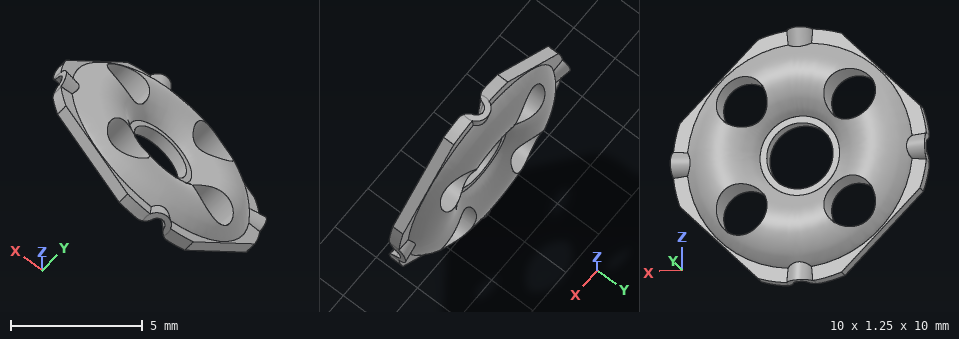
import cadquery as cq
import math

DISC_RADIUS = 5.0
ACROSS_FLATS = 9.0
PLATE_THICKNESS = 0.5

TOTAL_THICKNESS = 1.25
RING_CREST_RADIUS = 3.0
RING_ARC_RADIUS = 1.75
RING_HEIGHT = TOTAL_THICKNESS - PLATE_THICKNESS
RING_HALF_WIDTH = math.sqrt(RING_ARC_RADIUS**2 - (RING_ARC_RADIUS - RING_HEIGHT) ** 2)

CENTRE_HOLE_DIAMETER = 2.6
SIDE_HOLE_DIAMETER = 2.0
SIDE_HOLE_CIRCLE_RADIUS = RING_CREST_RADIUS

GROOVE_START = 1.6
GROOVE_TILT = 10.0
GROOVE_RADIUS = 0.3
GROOVE_EDGE_FILLET = 0.55
WALL = 0.25
OVERSHOOT = 0.5
CUTTER_WIDTH = 4.0
CUTTER_HEIGHT = 1.5

QUARTER_TURNS = (0, 90, 180, 270)


def disc(radius, thickness):
    """Disc from the front face (Y = 0) towards +Y."""
    return cq.Workplane("XZ").circle(radius).extrude(-thickness)


def around_axis(body, angle):
    return body.rotate((0, 0, 0), (0, 1, 0), angle)


def make_outline(thickness):
    """Disc trimmed by the four diagonal flats."""
    square = cq.Workplane("XZ").rect(ACROSS_FLATS, ACROSS_FLATS).extrude(-thickness)
    return disc(DISC_RADIUS, thickness).intersect(around_axis(square, 45))


def make_ring():
    return (
        cq.Workplane("XY")
        .moveTo(RING_CREST_RADIUS - RING_HALF_WIDTH, 0)
        .lineTo(RING_CREST_RADIUS + RING_HALF_WIDTH, 0)
        .lineTo(RING_CREST_RADIUS + RING_HALF_WIDTH, PLATE_THICKNESS)
        .threePointArc(
            (RING_CREST_RADIUS, TOTAL_THICKNESS),
            (RING_CREST_RADIUS - RING_HALF_WIDTH, PLATE_THICKNESS),
        )
        .close()
        .revolve(360, (0, 0, 0), (0, 1, 0))
    )


def tilted_cylinder(radius):
    """Cylinder on the groove axis, running outwards along +Z and rising towards +Y."""
    tilt = math.radians(GROOVE_TILT)
    direction = cq.Vector(0, math.sin(tilt), math.cos(tilt))
    base = cq.Vector(
        0,
        -GROOVE_RADIUS * math.cos(tilt),
        GROOVE_START + GROOVE_RADIUS * math.sin(tilt),
    )
    length = (DISC_RADIUS + OVERSHOOT - GROOVE_START) / math.cos(tilt)
    return cq.Workplane(cq.Solid.makeCylinder(radius, length, base, direction))


def make_groove():
    """Groove cutter with its edges flared into the front face."""
    block = cq.Workplane("XY").box(
        CUTTER_WIDTH, CUTTER_HEIGHT, DISC_RADIUS, centered=(True, False, False)
    )
    grooved = block.cut(tilted_cylinder(GROOVE_RADIUS))
    mouth = grooved.faces("<Y").edges("not(|X or |Z)")
    return block.cut(mouth.fillet(GROOVE_EDGE_FILLET))


def make_holes():
    holes = disc(CENTRE_HOLE_DIAMETER / 2, TOTAL_THICKNESS)
    side_hole = disc(SIDE_HOLE_DIAMETER / 2, TOTAL_THICKNESS).translate((0, 0, SIDE_HOLE_CIRCLE_RADIUS))
    for turn in QUARTER_TURNS:
        holes = holes.union(around_axis(side_hole, turn + 45))
    return holes


plate = make_outline(PLATE_THICKNESS).union(make_ring())
ridge = tilted_cylinder(GROOVE_RADIUS + WALL)
for turn in QUARTER_TURNS:
    plate = plate.union(around_axis(ridge, turn))

plate = plate.intersect(make_outline(TOTAL_THICKNESS)).clean()
groove = make_groove()
for turn in QUARTER_TURNS:
    plate = plate.cut(around_axis(groove, turn))

result = plate.cut(make_holes())